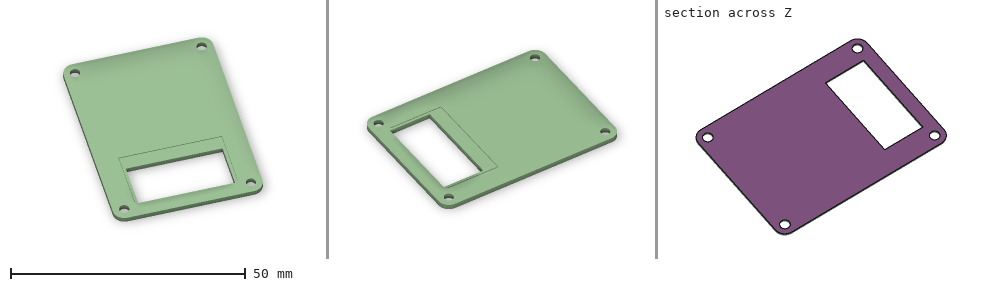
import cadquery as cq

LENGTH = 44.45
WIDTH = 33.03
THICKNESS = 1.2
CORNER_RADIUS = 2.55

HOLE_DIAMETER = 2.2

WINDOW_LEFT = 8.95
WINDOW_LENGTH = 9.95
WINDOW_WIDTH = 21.4

GROOVE_LEFT = 5.6
GROOVE_RIGHT = 18.45
GROOVE_SPAN = 22.95
GROOVE_WIDTH = 0.2
GROOVE_DEPTH = 0.2


def rounded_plate():
    plate = cq.Workplane("XY").box(LENGTH, WIDTH, THICKNESS, centered=(True, True, False))
    return plate.edges("|Z").fillet(CORNER_RADIUS)


def mounting_holes():
    spacing_x = LENGTH - 2 * CORNER_RADIUS
    spacing_y = WIDTH - 2 * CORNER_RADIUS
    holes = cq.Workplane("XY").rect(spacing_x, spacing_y, forConstruction=True).vertices()
    return holes.circle(HOLE_DIAMETER / 2).extrude(THICKNESS)


def window():
    center_x = WINDOW_LEFT + WINDOW_LENGTH / 2
    return cq.Workplane("XY").center(center_x, 0).rect(WINDOW_LENGTH, WINDOW_WIDTH).extrude(THICKNESS)


def window_groove():
    outer_y = GROOVE_SPAN / 2
    inner_y = outer_y - GROOVE_WIDTH
    inner_x = GROOVE_LEFT + GROOVE_WIDTH
    outline = [
        (GROOVE_RIGHT, outer_y),
        (GROOVE_LEFT, outer_y),
        (GROOVE_LEFT, -outer_y),
        (GROOVE_RIGHT, -outer_y),
        (GROOVE_RIGHT, -inner_y),
        (inner_x, -inner_y),
        (inner_x, inner_y),
        (GROOVE_RIGHT, inner_y),
    ]
    top_plane = cq.Workplane("XY").workplane(offset=THICKNESS)
    return top_plane.polyline(outline).close().extrude(-GROOVE_DEPTH)


result = rounded_plate().cut(mounting_holes()).cut(window()).cut(window_groove())